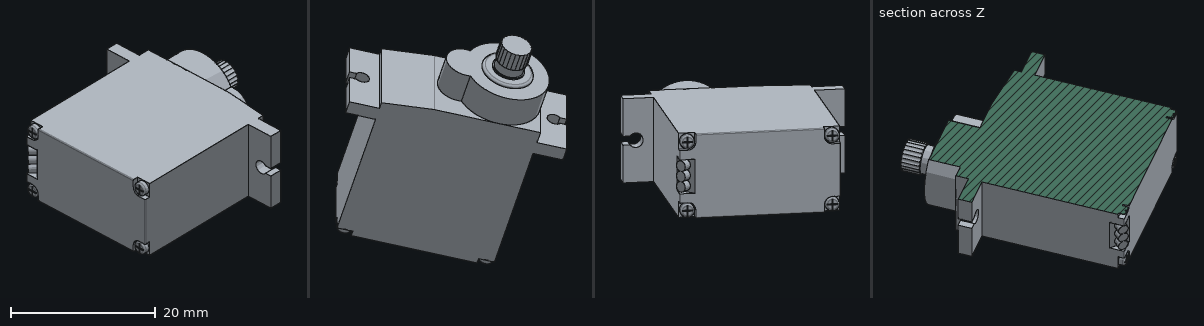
import cadquery as cq
import math

TOTAL_LENGTH = 34.4
CABLE_PROTRUSION = 0.35

CASE_WIDTH = 22.63
CASE_HEIGHT = 12.07
CASE_FRONT = 24.65
SLOPE_START_X = 3.95
SLOPE_DROP = 0.8
REAR_FILLET = 0.15

EARS_SPAN = 31.23
EAR_REAR_Y = 20.8
EAR_THICKNESS = 2.03
EAR_HOLE_X = 13.8
EAR_HOLE_DIAMETER = 2.03
EAR_SLOT_WIDTH = 1.25

DRUM_DIAMETER = CASE_HEIGHT
DRUM_FRONT_Y = 29.25
SIDE_DRUM_DIAMETER = 5.78
SIDE_DRUM_EDGE_X = 3.5
SHAFT_X = (DRUM_DIAMETER - CASE_WIDTH) / 2
SIDE_DRUM_X = SIDE_DRUM_EDGE_X - SIDE_DRUM_DIAMETER / 2

COLLAR_DIAMETER = 7.35
COLLAR_HEIGHT = 0.45
COLLAR_FILLET = 0.38
RING_DIAMETER = 4.6
RING_HEIGHT = 0.2
SHAFT_DIAMETER = 4.15
SPLINE_DIAMETER = 4.6
SPLINE_START_Y = 31.23
SHAFT_END_Y = TOTAL_LENGTH - CABLE_PROTRUSION
SPLINE_CHAMFER = 0.2
SPLINE_TEETH = 23
FLUTE_DEPTH = 0.17

SCREW_INSET = 1.15
SCREW_POCKET_DIAMETER = 2 * SCREW_INSET
SCREW_POCKET_DEPTH = 0.9
SCREW_HEAD_DIAMETER = 2.03
SCREW_HEAD_FILLET = 0.292
SCREW_SLOT_LENGTH = SCREW_HEAD_DIAMETER - 2 * SCREW_HEAD_FILLET
SCREW_SLOT_WIDTH = 0.15
SCREW_SLOT_DEPTH = 0.2

NOTCH_LEG = 2.13
NOTCH_HEIGHT = 4.85
CABLE_DIAMETER = 1.5
CABLE_PITCH = 1.48
CABLE_COUNT = 3


def cylinder_y(diameter, x, z, y_start, y_end):
    """Cylinder along Y between two Y stations."""
    plane = cq.Plane(origin=(x, y_start, z), xDir=(1, 0, 0), normal=(0, 1, 0))
    return cq.Workplane(plane).circle(diameter / 2).extrude(y_end - y_start)


def box_between(x_range, y_range, z_range):
    """Axis-aligned box between pairs of limits."""
    sizes = [limits[1] - limits[0] for limits in (x_range, y_range, z_range)]
    corner = (x_range[0], y_range[0], z_range[0])
    return cq.Workplane("XY").box(*sizes, centered=False).translate(corner)


def make_case():
    half = CASE_WIDTH / 2
    outline = [
        (-half, 0),
        (half, 0),
        (half, CASE_FRONT - SLOPE_DROP),
        (SLOPE_START_X, CASE_FRONT),
        (-half, CASE_FRONT),
    ]
    case = cq.Workplane("XY").polyline(outline).close().extrude(CASE_HEIGHT / 2, both=True)
    return case.faces("<Y").edges().fillet(REAR_FILLET)


def make_ears():
    ears = box_between(
        (-EARS_SPAN / 2, EARS_SPAN / 2),
        (EAR_REAR_Y, EAR_REAR_Y + EAR_THICKNESS),
        (-CASE_HEIGHT / 2, CASE_HEIGHT / 2),
    )
    ear_front = EAR_REAR_Y + EAR_THICKNESS
    for side in (-1, 1):
        hole_x = side * EAR_HOLE_X
        hole = cylinder_y(EAR_HOLE_DIAMETER, hole_x, 0, EAR_REAR_Y, ear_front)
        slot = box_between(
            sorted((hole_x, side * EARS_SPAN / 2)),
            (EAR_REAR_Y, ear_front),
            (-EAR_SLOT_WIDTH / 2, EAR_SLOT_WIDTH / 2),
        )
        ears = ears.cut(hole).cut(slot)
    return ears


def make_gear_housing():
    drum = cylinder_y(DRUM_DIAMETER, SHAFT_X, 0, CASE_FRONT, DRUM_FRONT_Y)
    side_drum = cylinder_y(SIDE_DRUM_DIAMETER, SIDE_DRUM_X, 0, CASE_FRONT, DRUM_FRONT_Y)
    return drum.union(side_drum)


def make_spline():
    """Splined shaft end: concave flutes meeting in sharp crests."""
    crest_radius = SPLINE_DIAMETER / 2
    pitch = 2 * math.pi / SPLINE_TEETH
    valley_radius = crest_radius - FLUTE_DEPTH

    def point(radius, angle):
        return (radius * math.cos(angle), radius * math.sin(angle))

    plane = cq.Plane(origin=(SHAFT_X, SPLINE_START_Y, 0), xDir=(-1, 0, 0), normal=(0, 1, 0))
    outline = cq.Workplane(plane).moveTo(*point(crest_radius, 0))
    for tooth in range(SPLINE_TEETH):
        start = tooth * pitch
        outline = outline.threePointArc(
            point(valley_radius, start + pitch / 2), point(crest_radius, start + pitch)
        )
    spline = outline.close().extrude(SHAFT_END_Y - SPLINE_START_Y)
    envelope = cylinder_y(SPLINE_DIAMETER, SHAFT_X, 0, SPLINE_START_Y, SHAFT_END_Y)
    return spline.intersect(envelope.faces("<Y").chamfer(SPLINE_CHAMFER))


def make_output_shaft():
    collar_front = DRUM_FRONT_Y + COLLAR_HEIGHT
    collar = cylinder_y(COLLAR_DIAMETER, SHAFT_X, 0, DRUM_FRONT_Y, collar_front)
    collar = collar.faces(">Y").edges().fillet(COLLAR_FILLET)
    ring = cylinder_y(RING_DIAMETER, SHAFT_X, 0, DRUM_FRONT_Y, collar_front + RING_HEIGHT)
    shaft = cylinder_y(SHAFT_DIAMETER, SHAFT_X, 0, DRUM_FRONT_Y, SHAFT_END_Y)
    return collar.union(ring).union(shaft).union(make_spline())


def make_screw_pocket(x_side, z_side):
    """Round pocket opened to both neighbouring case sides."""
    edge_x = x_side * CASE_WIDTH / 2
    edge_z = z_side * CASE_HEIGHT / 2
    x = edge_x - x_side * SCREW_INSET
    z = edge_z - z_side * SCREW_INSET
    reach = SCREW_POCKET_DIAMETER / 2
    depth = (0, SCREW_POCKET_DEPTH)
    pocket = cylinder_y(SCREW_POCKET_DIAMETER, x, z, *depth)
    toward_x = box_between(sorted((x, edge_x)), depth, (z - reach, z + reach))
    toward_z = box_between((x - reach, x + reach), depth, sorted((z, edge_z)))
    return pocket.union(toward_x).union(toward_z)


def make_screw_head(x_side, z_side):
    """Rounded screw head with a cross recess, flush with the rear face."""
    x = x_side * (CASE_WIDTH / 2 - SCREW_INSET)
    z = z_side * (CASE_HEIGHT / 2 - SCREW_INSET)
    head = cylinder_y(SCREW_HEAD_DIAMETER, x, z, 0, SCREW_POCKET_DEPTH)
    head = head.faces("<Y").edges().fillet(SCREW_HEAD_FILLET)
    long_half = SCREW_SLOT_LENGTH / 2
    short_half = SCREW_SLOT_WIDTH / 2
    for half_x, half_z in ((long_half, short_half), (short_half, long_half)):
        slot = box_between(
            (x - half_x, x + half_x), (0, SCREW_SLOT_DEPTH), (z - half_z, z + half_z)
        )
        head = head.cut(slot)
    return head


def make_cable_notch():
    corner_x = -CASE_WIDTH / 2
    outline = [(corner_x, 0), (corner_x + NOTCH_LEG, 0), (corner_x, NOTCH_LEG)]
    return cq.Workplane("XY").polyline(outline).close().extrude(NOTCH_HEIGHT / 2, both=True)


def make_cables():
    """Row of cable stubs leaving the notch square to its sloped floor."""
    diagonal = math.sqrt(0.5)
    end_centre = CABLE_DIAMETER / 2 * diagonal - CABLE_PROTRUSION
    root_centre = NOTCH_LEG / 2
    length = (root_centre - end_centre) / diagonal
    plane = cq.Plane(
        origin=(root_centre - CASE_WIDTH / 2, root_centre, 0),
        xDir=(0, 0, 1),
        normal=(-1, -1, 0),
    )
    cable_spots = cq.Workplane(plane).rarray(CABLE_PITCH, 0.35, CABLE_COUNT, 1)
    cable = cq.Solid.makeCylinder(CABLE_DIAMETER / 2, length)
    return cable_spots.eachpoint(cable, useLocalCoordinates=True, combine=True)


result = make_case().union(make_ears()).union(make_gear_housing()).union(make_output_shaft())
for x_side in (-1, 1):
    for z_side in (-1, 1):
        result = result.cut(make_screw_pocket(x_side, z_side))
        result = result.union(make_screw_head(x_side, z_side))
result = result.cut(make_cable_notch()).union(make_cables())